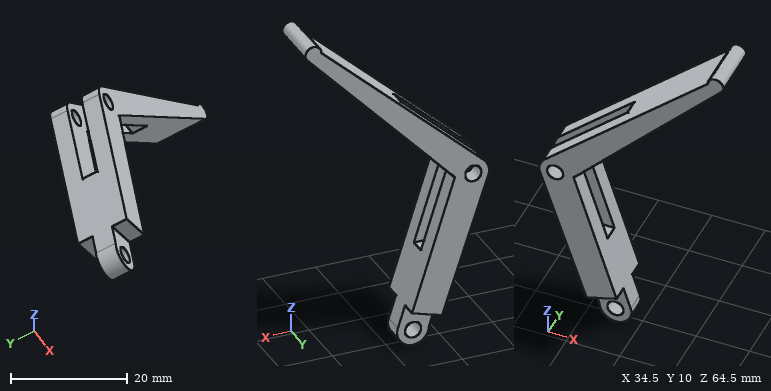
import cadquery as cq
import math

overall_height = 64.5
knuckle_diameter = 6.0
inner_corner_x = 3.5
tongue_width = 4.0
shoulder_outer_z = -26.6
shoulder_inner_z = -24.9

knuckle_radius = knuckle_diameter / 2
tip_radius = knuckle_radius / 2
hole_diameter = knuckle_radius

reach = (overall_height - knuckle_radius - tip_radius) / 2
lever_width = reach / 3
slot_width = knuckle_radius
slot_height = reach

pivot = (0.0, 0.0)
tip_center = (reach, reach)
foot_center = (reach / 3, -reach)
inner_corner = (inner_corner_x, 0.0)
tip_outer = (tip_center[0] - tip_radius, tip_center[1])
foot_outer = (foot_center[0] - knuckle_radius, foot_center[1])


def on_circle(center, radius, angle):
    return (center[0] + radius * math.cos(angle), center[1] + radius * math.sin(angle))


def tangent_angle(point, center, radius, side):
    """Angle on the circle where the line from the point touches; side is +1 or -1."""
    dx = point[0] - center[0]
    dz = point[1] - center[1]
    return math.atan2(dz, dx) + side * math.acos(radius / math.hypot(dx, dz))


def x_on_line(start, end, z):
    return start[0] + (end[0] - start[0]) * (z - start[1]) / (end[1] - start[1])


knuckle_upper_angle = tangent_angle(tip_outer, pivot, knuckle_radius, 1)
knuckle_lower = on_circle(pivot, knuckle_radius, tangent_angle(foot_outer, pivot, knuckle_radius, -1))
knuckle_upper = on_circle(pivot, knuckle_radius, knuckle_upper_angle)
tip_inner = on_circle(tip_center, tip_radius, tangent_angle(inner_corner, tip_center, tip_radius, 1))
foot_inner = on_circle(
    foot_center, knuckle_radius, tangent_angle(inner_corner, foot_center, knuckle_radius, -1)
)


def plate(outline, width):
    """Extrude an XZ outline symmetrically about Y = 0."""
    return outline.extrude(width / 2, both=True)


def shoulder_line():
    outer = (x_on_line(knuckle_lower, foot_outer, shoulder_outer_z), shoulder_outer_z)
    inner = (x_on_line(inner_corner, foot_inner, shoulder_inner_z), shoulder_inner_z)
    return outer, inner


def upper_body():
    """Full-width bent lever, from the tip down to the sloping shoulder."""
    shoulder_outer, shoulder_inner = shoulder_line()
    outline = (
        cq.Workplane("XZ")
        .moveTo(*knuckle_upper)
        .lineTo(*tip_outer)
        .threePointArc(on_circle(tip_center, tip_radius, math.pi / 4), tip_inner)
        .lineTo(*inner_corner)
        .lineTo(*shoulder_inner)
        .lineTo(*shoulder_outer)
        .lineTo(*knuckle_lower)
        .threePointArc(on_circle(pivot, knuckle_radius, math.pi), knuckle_upper)
        .close()
    )
    return plate(outline, lever_width)


def foot_tongue():
    """Narrow tongue carrying the foot hole; its upper part lies inside the lever."""
    outline = (
        cq.Workplane("XZ")
        .moveTo(*knuckle_lower)
        .lineTo(*inner_corner)
        .lineTo(*foot_inner)
        .threePointArc(on_circle(foot_center, knuckle_radius, -math.pi / 2), foot_outer)
        .close()
    )
    return plate(outline, tongue_width)


def through_holes():
    outline = cq.Workplane("XZ").pushPoints([pivot, foot_center]).circle(hole_diameter / 2)
    return plate(outline, lever_width)


def bend_slot():
    """Slot with level ends passing right through the bend along X."""
    return cq.Workplane("XY").box(2 * reach, slot_width, slot_height)


result = upper_body().union(foot_tongue()).cut(through_holes()).cut(bend_slot())